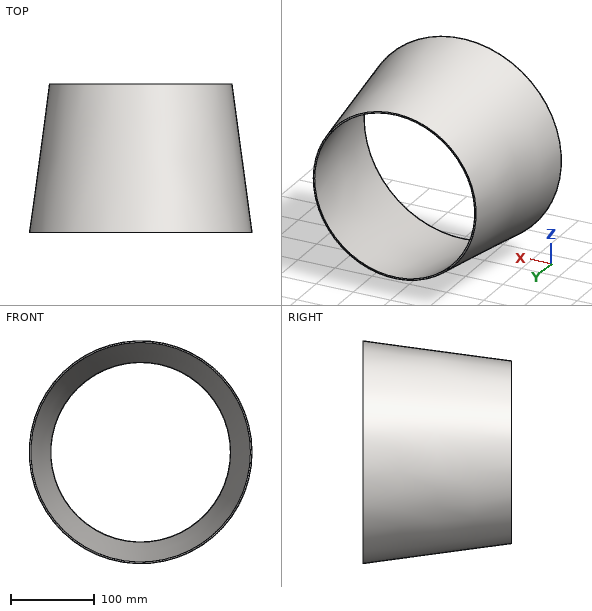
import cadquery as cq

large_diameter = 267.0
small_diameter = 219.0
length = 178.0
wall = 2.0

large_radius = large_diameter / 2
small_radius = small_diameter / 2

wall_section = cq.Workplane("XY").polyline([
    (large_radius - wall, 0),
    (large_radius, 0),
    (small_radius, length),
    (small_radius - wall, length),
]).close()

result = wall_section.revolve(360, (0, 0, 0), (0, 1, 0))